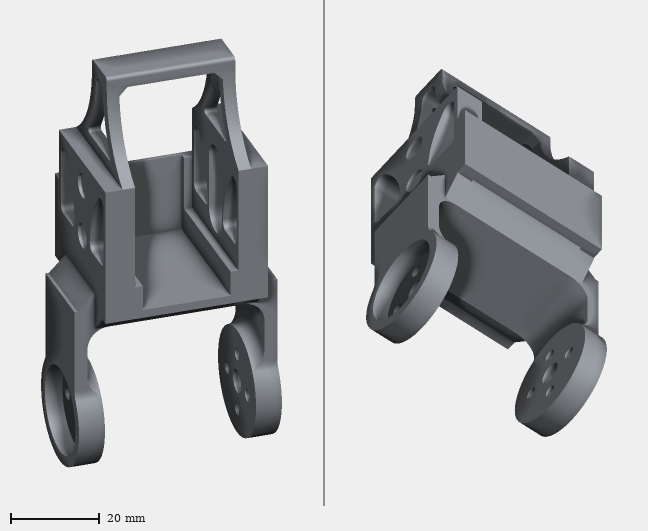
import cadquery as cq
import math


length_z = 99.55
width_x = 34.7
depth_y = 48.4

ear_radius = 13.0
ear_inner_y = 18.0
ear_recess_diameter = 21.0
ear_recess_depth = 4.2
ear_bore_diameter = 5.6
ear_screw_count = 4
ear_screw_diameter = 3.0
ear_screw_circle_radius = 7.0
ear_flange_fillet = 3.1
arm_half_width = 10.0
arm_inner_y = ear_inner_y + ear_flange_fillet
arm_outer_y = depth_y / 2
arm_ear_fillet = 3.5
arm_bridge_fillet = 5.0
bridge_height = 5.0
bridge_bottom_z = 25.0

housing_bottom_z = bridge_bottom_z + bridge_height
housing_height = 33.5
housing_top_z = housing_bottom_z + housing_height
housing_half_y = 19.4
housing_right_x = width_x / 2
cover_thickness = 2.9
housing_left_x = -housing_right_x + cover_thickness
housing_center_x = (housing_left_x + housing_right_x) / 2
housing_half_x = (housing_right_x - housing_left_x) / 2
wall_inner_y = 12.3
base_height = 8.1
servo_pocket_half_y = 10.5
servo_pocket_floor = 2.0
wedge_size = 4.0

wall_hole_diameter = 6.0
wall_hole_spacing = 12.7
wall_hole_center_z = 50.9
clearance_slot_width = 9.0
clearance_slot_depth = 6.3

side_window_bottom_z = 43.6
side_window_rim = 1.2
side_window_inner_x = 5.1
side_window_arc_radius = 24.6
side_window_fillet = 1.8
side_window_top_fillet = 2.2

frame_half_y = 15.3
frame_top_z = length_z - ear_radius
frame_top_half_x = 5.1
frame_bar_height = 3.1
frame_bar_bottom_z = frame_top_z - frame_bar_height
frame_edge_fillet = 0.9
frame_inner_chamfer = 2.0
frame_window_rim = 2.8
frame_window_sill = 3.0
frame_window_bottom_z = housing_top_z + frame_window_sill
frame_window_top_fillet = 1.8
frame_window_bottom_fillet = 0.8

cover_height = 21.0
cover_lip = 1.1


def box_between(x_range, y_range, z_range):
    """A box given by its lower and upper limits along each axis."""
    size = [upper - lower for lower, upper in (x_range, y_range, z_range)]
    corner = cq.Vector(x_range[0], y_range[0], z_range[0])
    return cq.Workplane(cq.Solid.makeBox(*size, corner))


def xz_sketch(y):
    """A workplane at the given y, drawn in x and z, that extrudes toward -Y."""
    return cq.Workplane("XZ", origin=(0, y, 0))


def with_mirror(half):
    """A shape on the -Y side together with its mirror image on the +Y side."""
    return half.union(half.mirror("XZ"))


def servo_pocket():
    """Cutter for the servo's seat, which runs from the cover's lip out through the +X face."""
    return box_between(
        (-housing_right_x + cover_lip, housing_right_x),
        (-servo_pocket_half_y, servo_pocket_half_y),
        (housing_bottom_z + servo_pocket_floor, housing_top_z),
    )


flank_run = housing_half_x - frame_top_half_x
flank_drop = frame_bar_bottom_z - housing_top_z
flank_radius = (flank_run**2 + flank_drop**2) / (2 * flank_run)
flank_center_offset = frame_top_half_x + flank_radius


def flank_offset(radius, z):
    """Distance from the frame's middle to an arc about the flank's center, at height z."""
    return flank_center_offset - math.sqrt(radius**2 - (frame_bar_bottom_z - z) ** 2)


def frame_block():
    mid_z = (frame_bar_bottom_z + housing_top_z) / 2
    mid_offset = flank_offset(flank_radius, mid_z)
    return (
        xz_sketch(frame_half_y)
        .moveTo(housing_left_x, housing_top_z)
        .threePointArc(
            (housing_center_x - mid_offset, mid_z),
            (housing_center_x - frame_top_half_x, frame_bar_bottom_z),
        )
        .lineTo(housing_center_x - frame_top_half_x, frame_top_z)
        .lineTo(housing_center_x + frame_top_half_x, frame_top_z)
        .lineTo(housing_center_x + frame_top_half_x, frame_bar_bottom_z)
        .threePointArc(
            (housing_center_x + mid_offset, mid_z),
            (housing_right_x, housing_top_z),
        )
        .close()
        .extrude(2 * frame_half_y)
        .edges("|Y and >Z")
        .fillet(frame_edge_fillet)
    )


def frame_window():
    """Cutter for the window under the bar, whose sides follow the flanks."""
    radius = flank_radius + frame_window_rim
    mid_z = (frame_bar_bottom_z + frame_window_bottom_z) / 2
    top_offset = flank_offset(radius, frame_bar_bottom_z)
    mid_offset = flank_offset(radius, mid_z)
    bottom_offset = flank_offset(radius, frame_window_bottom_z)
    return (
        xz_sketch(frame_half_y)
        .moveTo(housing_center_x - bottom_offset, frame_window_bottom_z)
        .threePointArc(
            (housing_center_x - mid_offset, mid_z),
            (housing_center_x - top_offset, frame_bar_bottom_z),
        )
        .lineTo(housing_center_x + top_offset, frame_bar_bottom_z)
        .threePointArc(
            (housing_center_x + mid_offset, mid_z),
            (housing_center_x + bottom_offset, frame_window_bottom_z),
        )
        .close()
        .extrude(2 * frame_half_y)
        .edges("|Y and >Z")
        .fillet(frame_window_top_fillet)
        .edges("|Y and <Z")
        .fillet(frame_window_bottom_fillet)
    )


def space_between_walls():
    """Cutter for the gap between the walls, chamfered under the frame's bar."""
    return box_between(
        (housing_left_x, housing_right_x),
        (-wall_inner_y, wall_inner_y),
        (housing_bottom_z + base_height, frame_bar_bottom_z),
    ).edges("|X and >Z").chamfer(frame_inner_chamfer)


def side_windows():
    """Cutters for the two curved windows, one on each side of the screw holes."""
    outer_offset = housing_half_x - side_window_rim
    center_offset = side_window_inner_x + side_window_arc_radius

    def arc_z(offset):
        return side_window_bottom_z + math.sqrt(side_window_arc_radius**2 - (center_offset - offset) ** 2)

    mid_offset = (side_window_inner_x + outer_offset) / 2
    left = (
        xz_sketch(housing_half_y)
        .moveTo(housing_center_x - side_window_inner_x, side_window_bottom_z)
        .threePointArc(
            (housing_center_x - mid_offset, arc_z(mid_offset)),
            (housing_center_x - outer_offset, arc_z(outer_offset)),
        )
        .lineTo(housing_center_x - outer_offset, side_window_bottom_z)
        .close()
        .extrude(2 * housing_half_y)
        .edges("|Y and <Z")
        .fillet(side_window_fillet)
        .edges("|Y and >Z")
        .fillet(side_window_top_fillet)
    )
    return left.union(left.mirror("YZ", (housing_center_x, 0, 0)))


def clearance_slot():
    """Cutter for the round-ended slot on the inside of each wall, joining its screw holes."""
    half = (
        cq.Workplane("XZ", origin=(housing_center_x, -wall_inner_y, wall_hole_center_z))
        .slot2D(wall_hole_spacing + clearance_slot_width, clearance_slot_width, 90)
        .extrude(clearance_slot_depth)
    )
    return with_mirror(half)


def wall_holes():
    """Cutters for the two screw holes that pass through both walls."""
    centers = [
        (housing_center_x, wall_hole_center_z + side * wall_hole_spacing / 2)
        for side in (-1, 1)
    ]
    return (
        xz_sketch(housing_half_y)
        .pushPoints(centers)
        .circle(wall_hole_diameter / 2)
        .extrude(2 * housing_half_y)
    )


def wedge():
    """45 degree rib along the foot of the -Y wall, resting on top of the fork's arm."""
    return (
        cq.Workplane("YZ", origin=(-arm_half_width, 0, 0))
        .moveTo(-housing_half_y, housing_bottom_z)
        .lineTo(-housing_half_y, housing_bottom_z + wedge_size)
        .lineTo(-housing_half_y - wedge_size, housing_bottom_z)
        .close()
        .extrude(2 * arm_half_width)
    )


def build_housing():
    block = box_between(
        (housing_left_x, housing_right_x),
        (-housing_half_y, housing_half_y),
        (housing_bottom_z, housing_top_z),
    )
    return (
        block.union(frame_block())
        .union(with_mirror(wedge()))
        .cut(space_between_walls())
        .cut(servo_pocket())
        .cut(frame_window())
        .cut(side_windows())
        .cut(clearance_slot())
        .cut(wall_holes())
    )


def build_cover():
    plate = box_between(
        (-housing_right_x, housing_left_x),
        (-housing_half_y, housing_half_y),
        (housing_bottom_z, housing_bottom_z + cover_height),
    )
    return plate.cut(servo_pocket())


def bridge():
    """Cross bar under the housing with 45 degree flanks, trimmed flush with the walls at -X."""
    top_half_width = arm_half_width + bridge_height
    bar = (
        xz_sketch(housing_half_y)
        .polyline(
            [
                (-top_half_width, housing_bottom_z),
                (top_half_width, housing_bottom_z),
                (arm_half_width, bridge_bottom_z),
                (-arm_half_width, bridge_bottom_z),
            ]
        )
        .close()
        .extrude(2 * housing_half_y)
    )
    wall_trim = box_between(
        (-top_half_width, housing_left_x),
        (-housing_half_y, -frame_half_y),
        (bridge_bottom_z, housing_bottom_z),
    )
    return bar.cut(with_mirror(wall_trim))


def arm_outline():
    """Straight arm and round ear, seen along Y and joined by concave fillets."""
    fillet_x = arm_half_width + arm_ear_fillet
    fillet_distance = ear_radius + arm_ear_fillet
    fillet_z = math.sqrt(fillet_distance**2 - fillet_x**2)
    ear_touch_x = fillet_x * ear_radius / fillet_distance
    ear_touch_z = fillet_z * ear_radius / fillet_distance
    half_angle = math.atan2(fillet_z, fillet_x) / 2
    fillet_mid_x = fillet_x - arm_ear_fillet * math.cos(half_angle)
    fillet_mid_z = fillet_z - arm_ear_fillet * math.sin(half_angle)
    return (
        xz_sketch(0)
        .moveTo(-arm_half_width, housing_bottom_z)
        .lineTo(-arm_half_width, fillet_z)
        .threePointArc((-fillet_mid_x, fillet_mid_z), (-ear_touch_x, ear_touch_z))
        .threePointArc((0, -ear_radius), (ear_touch_x, ear_touch_z))
        .threePointArc((fillet_mid_x, fillet_mid_z), (arm_half_width, fillet_z))
        .lineTo(arm_half_width, housing_bottom_z)
        .close()
        .extrude(arm_outer_y)
    )


def arm_section():
    """Thin upright of the -Y arm with the fillet under the bridge, across a generous width."""
    fillet_end_y = arm_inner_y - arm_bridge_fillet
    fillet_end_z = bridge_bottom_z - arm_bridge_fillet
    fillet_middle = arm_bridge_fillet * math.sqrt(0.5)
    return (
        cq.Workplane("YZ", origin=(-ear_radius, 0, 0))
        .moveTo(-arm_outer_y, -ear_radius)
        .lineTo(-arm_outer_y, housing_bottom_z)
        .lineTo(-fillet_end_y, housing_bottom_z)
        .lineTo(-fillet_end_y, bridge_bottom_z)
        .threePointArc(
            (-fillet_end_y - fillet_middle, fillet_end_z + fillet_middle),
            (-arm_inner_y, fillet_end_z),
        )
        .lineTo(-arm_inner_y, -ear_radius)
        .close()
        .extrude(2 * ear_radius)
    )


def ear_flange():
    """Turned boss of the -Y ear, flaring through a concave fillet into the arm."""
    flare_radius = ear_radius + ear_flange_fillet
    fillet_middle = ear_flange_fillet * math.sqrt(0.5)
    return (
        cq.Workplane("XY")
        .moveTo(0, -ear_inner_y)
        .lineTo(ear_radius, -ear_inner_y)
        .threePointArc(
            (flare_radius - fillet_middle, -ear_inner_y - fillet_middle),
            (flare_radius, -arm_inner_y),
        )
        .lineTo(flare_radius, -arm_outer_y)
        .lineTo(0, -arm_outer_y)
        .close()
        .revolve(360, (0, 0, 0), (0, 1, 0))
    )


def ear_cutters():
    """Outer recess, center bore and screw holes of the -Y ear."""
    recess = (
        xz_sketch(-arm_outer_y + ear_recess_depth)
        .circle(ear_recess_diameter / 2)
        .extrude(ear_recess_depth)
    )
    bore = xz_sketch(-ear_inner_y).circle(ear_bore_diameter / 2).extrude(arm_outer_y - ear_inner_y)
    screw_holes = (
        xz_sketch(-ear_inner_y)
        .polarArray(ear_screw_circle_radius, 0, 360, ear_screw_count)
        .circle(ear_screw_diameter / 2)
        .extrude(arm_outer_y - ear_inner_y)
    )
    return recess.union(bore).union(screw_holes)


def build_fork():
    arm = arm_outline().intersect(arm_section().union(ear_flange()))
    return bridge().union(with_mirror(arm.cut(ear_cutters())))


housing = build_housing()
cover = build_cover()
fork = build_fork()

result = cq.Compound.makeCompound([housing.solids().val(), cover.solids().val(), fork.solids().val()])